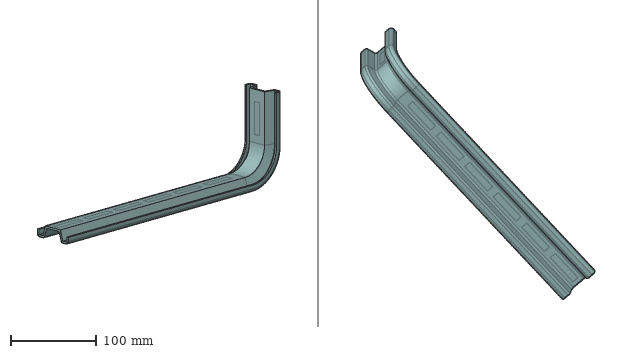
import cadquery as cq

WIDTH = 51.0
LENGTH = 357.5
HEIGHT = 113.0

SHEET = 2.5
DEPTH = 15.5
LIP_HEIGHT = 9.0
WEB_WIDTH = 24.5
CHANNEL_WIDTH = 9.3
WALL_OFFSET = 2.0
FOOT_RADIUS = 4.3
WEB_RADIUS = 3.0

BEND_RADIUS = 48.0

SLOT_WIDTH = 8.0
SLOT_LENGTH = 40.0
SLOT_PITCH = 50.0
ARM_SLOT_COUNT = 6
ARM_SLOT_MARGIN = 5.7
LEG_SLOT_MARGIN = 15.0

PICK_TOLERANCE = 0.05

half_width = WIDTH / 2
end_y = -LENGTH / 2
back_y = LENGTH / 2
wall_foot = half_width - CHANNEL_WIDTH


def hat_section():
    """Closed outline of the hat section at the free end of the arm."""
    web_edge = WEB_WIDTH / 2
    right_half = [
        (half_width - SHEET, LIP_HEIGHT),
        (half_width, LIP_HEIGHT),
        (half_width, 0),
        (wall_foot - WALL_OFFSET, 0),
        (web_edge - WALL_OFFSET, DEPTH - SHEET),
    ]
    left_under = [(-x, z) for x, z in reversed(right_half)]
    left_top = [
        (-half_width + SHEET, SHEET),
        (-wall_foot, SHEET),
        (-web_edge, DEPTH),
    ]
    right_top = [(-x, z) for x, z in reversed(left_top)]
    return (
        cq.Workplane("XZ", origin=(0, end_y, 0))
        .polyline(right_half + left_under + left_top + right_top)
        .close()
    )


def bent_channel():
    """Arm, quarter bend and leg following one path, with rounded folds."""
    bend_y = back_y - BEND_RADIUS
    path = (
        cq.Workplane("YZ")
        .moveTo(end_y, 0)
        .lineTo(bend_y, 0)
        .radiusArc((back_y, BEND_RADIUS), -BEND_RADIUS)
        .lineTo(back_y, HEIGHT)
    )
    channel = hat_section().sweep(path)

    def fold_edges(x, z):
        """Arm edges at one section corner, on both sides of the part."""
        edges = []
        for side in (-1, 1):
            box = cq.selectors.BoxSelector(
                (side * x - PICK_TOLERANCE, end_y, z - PICK_TOLERANCE),
                (side * x + PICK_TOLERANCE, bend_y, z + PICK_TOLERANCE),
            )
            edges += channel.edges("|Y").edges(box).vals()
        return edges

    folds = [
        (half_width, 0, FOOT_RADIUS),
        (wall_foot - WALL_OFFSET, 0, WEB_RADIUS),
        (WEB_WIDTH / 2 - WALL_OFFSET, DEPTH - SHEET, WEB_RADIUS),
    ]
    for x, z, radius in folds:
        channel = channel.newObject(fold_edges(x, z)).fillet(radius)
    return channel


def arm_slot_fills():
    first_y = end_y + ARM_SLOT_MARGIN + SLOT_LENGTH / 2
    centres = [(0, first_y + i * SLOT_PITCH) for i in range(ARM_SLOT_COUNT)]
    return (
        cq.Workplane("XY", origin=(0, 0, DEPTH - SHEET))
        .pushPoints(centres)
        .rect(SLOT_WIDTH, SLOT_LENGTH)
        .extrude(SHEET)
    )


def leg_slot_fill():
    centre_z = HEIGHT - LEG_SLOT_MARGIN - SLOT_LENGTH / 2
    return (
        cq.Workplane("XZ", origin=(0, back_y - DEPTH + SHEET, centre_z))
        .rect(SLOT_WIDTH, SLOT_LENGTH)
        .extrude(SHEET)
    )


channel = bent_channel()
fills = arm_slot_fills().add(leg_slot_fill())

result = channel
for fill in fills.solids().vals():
    result = result.cut(cq.Workplane(fill), clean=False).union(cq.Workplane(fill), clean=False)
result = result.solids()